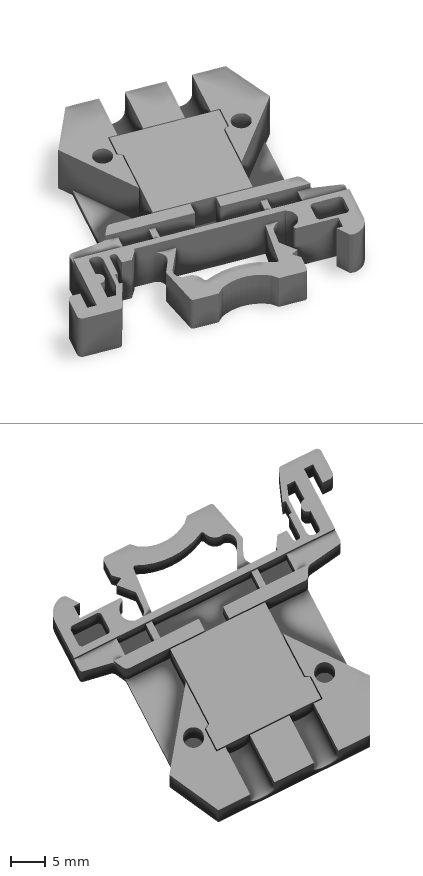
import cadquery as cq
import math


thickness = 8.0
plate_thickness = 1.0
step_depth = 1.0
pocket_floor = 1.0
channel_floor = 3.0
step_level = thickness - step_depth
clip_thickness = 6.0

body_tip_x = 8.0
body_front_half_width = 12.5
body_tip_half_width = 16.5
body_back_x = 19.4
plate_half_width = 15.0

slot_width = 4.0
slot_offset = 5.25
slot_bottom = 2.0
pin_hole_diameter = 3.1
pin_hole_x = 11.4
pin_hole_offset = 10.8

cover_gap = 0.2
cover_recess_half_width = 8.0
cover_head_half_width = 8.75
cover_head_end_x = 11.8
cover_neck_x = 12.2

wall_front_x = 25.0
wall_back_x = 27.0
wall_notch_half_width = 2.0
wall_corner_radius = 1.0
shoulder_half_width = 16.0

rail_top_y = 21.0
rail_bottom_y = -22.0
rail_tip_x = 27.9
rail_tip_radius = 0.5
rail_shoulder_radius = 1.0
ridge_x = 30.0
rail_back_x = 31.0
rib_inner_y = 8.2
rib_outer_y = 9.2
channel_end_y = 14.0

foot_x = 42.0
foot_bottom_y = -25.5
catch_x = 37.0
stem_x = 35.0
stem_end_y = 10.7
arm_top_y = -16.9
foot_corner_radius = 0.75
relief_x = 32.8
relief_y = 10.1
relief_radius = 1.8


def corner_arc(before, corner, after, radius):
    """Start, middle and end of the arc that rounds a corner."""
    to_before = (cq.Vector(*before) - cq.Vector(*corner)).normalized()
    to_after = (cq.Vector(*after) - cq.Vector(*corner)).normalized()
    half_angle = to_before.getAngle(to_after) / 2
    setback = radius / math.tan(half_angle)
    bisector = (to_before + to_after).normalized()
    middle = cq.Vector(*corner) + bisector * (radius / math.sin(half_angle) - radius)
    start = cq.Vector(*corner) + to_before * setback
    end = cq.Vector(*corner) + to_after * setback
    return [point.toTuple()[:2] for point in (start, middle, end)]


def prism(points, bottom=0.0, top=thickness):
    """Upright prism over a closed outline of (x, y) or (x, y, corner radius) points; the first is sharp."""
    outline = cq.Workplane("XY", origin=(0, 0, bottom)).moveTo(*points[0][:2])
    for index in range(1, len(points)):
        corner = points[index]
        if len(corner) == 2:
            outline = outline.lineTo(*corner)
            continue
        following = points[(index + 1) % len(points)]
        start, middle, end = corner_arc(points[index - 1][:2], corner[:2], following[:2], corner[2])
        outline = outline.lineTo(*start).threePointArc(middle, end)
    return outline.close().extrude(top - bottom)


def block(x_range, y_range, bottom=0.0, top=thickness):
    """Box between two X, two Y and two Z positions."""
    size = (x_range[1] - x_range[0], y_range[1] - y_range[0], top - bottom)
    return cq.Workplane("XY", origin=(x_range[0], y_range[0], bottom)).box(*size, centered=False)


def disc(x, y, radius, bottom=0.0):
    """Upright cylinder that reaches the top face."""
    return cq.Workplane("XY", origin=(x, y, bottom)).circle(radius).extrude(thickness - bottom)


def mirrored(points):
    """Outline closed by its own mirror image across the centre line."""
    return points + [(point[0], -point[1], *point[2:]) for point in reversed(points)]


def cover_outline(gap):
    """Outline of the cover recess, or of the cover itself when drawn in by the gap."""
    head = cover_head_half_width - gap
    side = cover_recess_half_width - gap
    return mirrored([
        (body_tip_x + gap, head),
        (cover_head_end_x, head),
        (cover_neck_x, side),
        (wall_front_x - gap, side),
    ])


def make_body():
    """Body on its base plate, with cable slots, pin holes and the set-in cover."""
    plate = block((body_tip_x, wall_front_x), (-plate_half_width, plate_half_width), top=plate_thickness)
    body = plate.union(prism(mirrored([
        (0, body_front_half_width),
        (body_tip_x, body_tip_half_width),
        (body_back_x, cover_recess_half_width),
    ])))
    for side in (-1, 1):
        slot_y = side * slot_offset
        slot_radius = slot_width / 2
        groove_axis = slot_bottom + slot_radius
        groove = cq.Workplane("YZ").center(slot_y, groove_axis).circle(slot_radius).extrude(body_tip_x)
        slot_sides = (slot_y - slot_radius, slot_y + slot_radius)
        body = body.cut(groove)
        body = body.cut(block((0, body_tip_x), slot_sides, bottom=groove_axis))
        body = body.cut(disc(pin_hole_x, side * pin_hole_offset, pin_hole_diameter / 2, pocket_floor))
    body = body.cut(prism(cover_outline(0), bottom=plate_thickness))
    return body.union(prism(cover_outline(cover_gap)))


def make_wall():
    """Full-height wall with rounded front corners that end on a square foot."""
    wall_back = (wall_back_x, shoulder_half_width)
    wall = prism(mirrored([wall_back, (wall_front_x, plate_half_width, wall_corner_radius)]))
    wall_foot = prism(mirrored([wall_back, (wall_front_x, plate_half_width)]), top=plate_thickness)
    return wall.union(wall_foot)


def make_rail():
    """Wall, the lower step behind it with its channels, and the full-height ridge."""
    step = prism([
        (ridge_x, rail_top_y),
        (rail_tip_x, rail_top_y, rail_tip_radius),
        (wall_back_x, shoulder_half_width, rail_shoulder_radius),
        (wall_front_x, plate_half_width, wall_corner_radius),
        (wall_front_x, -plate_half_width, wall_corner_radius),
        (wall_back_x, -shoulder_half_width, rail_shoulder_radius),
        (rail_tip_x, rail_bottom_y, rail_tip_radius),
        (ridge_x, rail_bottom_y),
    ], top=step_level)
    ridge = block((ridge_x, rail_back_x), (rail_bottom_y, rail_top_y))
    rail = make_wall().union(step).union(ridge)

    wall_notch = (-wall_notch_half_width, wall_notch_half_width)
    rail = rail.cut(block((wall_front_x, wall_back_x), wall_notch, bottom=channel_floor))
    channels = (
        (-channel_end_y, -rib_outer_y),
        (-rib_inner_y, rib_inner_y),
        (rib_outer_y, channel_end_y),
    )
    for channel in channels:
        rail = rail.cut(block((wall_back_x, ridge_x), channel, bottom=channel_floor))
    return rail


def make_upper_hook():
    """Rigid hook with a rounded nose, and the blind pocket in its root."""
    seat_y = 17.5
    barb_y = 16.5
    nose_start_x = 36.2
    nose_radius = 2.85
    nose_tip = (39.05, 18.4)
    nose_underside = (38.9, 17.85)
    stem_end_radius = 0.25
    stem_end_arc = corner_arc((stem_x, seat_y), (stem_x, stem_end_y), (ridge_x, stem_end_y), stem_end_radius)
    nose_diagonal = nose_radius * math.sqrt(0.5)
    nose_middle = (nose_start_x + nose_diagonal, rail_top_y - nose_radius + nose_diagonal)
    hook = (
        cq.Workplane("XY")
        .moveTo(ridge_x, rail_top_y)
        .lineTo(nose_start_x, rail_top_y)
        .threePointArc(nose_middle, nose_tip)
        .lineTo(*nose_underside)
        .lineTo(catch_x, barb_y)
        .lineTo(catch_x, seat_y)
        .lineTo(stem_x, seat_y)
        .lineTo(*stem_end_arc[0])
        .threePointArc(*stem_end_arc[1:])
        .lineTo(ridge_x, stem_end_y)
        .close()
        .extrude(thickness)
    )
    pocket_x = (rail_back_x, 34.5)
    pocket_y = (14.4, 19.5)
    pocket_corner_radius = 0.6
    pocket = block(pocket_x, pocket_y, bottom=pocket_floor).edges("|Z").fillet(pocket_corner_radius)
    return hook.cut(pocket)


def make_clip():
    """Springy bow, thinner than the block, with a window between it and the rail."""
    crest_y = 10.25
    root_bottom_y = -9.7
    corner_radius = 0.5
    root_bend = (33.1, -8.45)
    saddle_middle = (40.05, 1.0)
    saddle_half_width = 3.8
    saddle_end_x = 41.1
    saddle_top = (saddle_end_x, saddle_middle[1] + saddle_half_width)
    saddle_bottom = (saddle_end_x, saddle_middle[1] - saddle_half_width)
    crest_arc = corner_arc((stem_x, crest_y), (foot_x, crest_y), (foot_x, 0), corner_radius)
    heel = (foot_x, -7.9)
    knee = (35.3, -9.5)
    heel_arc = corner_arc((foot_x, 0), heel, knee, corner_radius)
    knee_arc = corner_arc(heel, knee, root_bend, corner_radius)
    bow = (
        cq.Workplane("XY")
        .moveTo(ridge_x, relief_y)
        .lineTo(relief_x, relief_y - relief_radius)
        .lineTo(35.1, 8.2)
        .lineTo(37.4, crest_y)
        .lineTo(38.0, 9.15)
        .lineTo(39.0, crest_y)
        .lineTo(*crest_arc[0])
        .threePointArc(*crest_arc[1:])
        .lineTo(foot_x, 5.7)
        .lineTo(*saddle_top)
        .threePointArc(saddle_middle, saddle_bottom)
        .lineTo(foot_x, -3.7)
        .lineTo(*heel_arc[0])
        .threePointArc(*heel_arc[1:])
        .lineTo(*knee_arc[0])
        .threePointArc(*knee_arc[1:])
        .lineTo(*root_bend)
        .threePointArc((31.6, -8.65), (rail_back_x, root_bottom_y))
        .lineTo(ridge_x, root_bottom_y)
        .close()
        .extrude(clip_thickness)
    )
    window = (
        cq.Workplane("XY")
        .moveTo(rail_back_x, 7.55)
        .lineTo(38.4, 6.9)
        .threePointArc((38.72, 6.75), (38.75, 6.4))
        .threePointArc((37.5, 1.0), (38.75, -4.3))
        .threePointArc((38.75, -4.6), (38.5, -4.8))
        .threePointArc((37.4, -5.55), (catch_x, -6.8))
        .threePointArc((36.4, -8.3), (35.1, -8.4))
        .lineTo(rail_back_x, -6.35)
        .close()
        .extrude(clip_thickness)
    )
    return bow.cut(window)


def make_lower_arm():
    """Arm that ends in the inward-turned lower catch, with a shallow notch along its top."""
    notch_y = -17.4
    arm_shoulder_y = -18.8
    arm_shoulder_radius = 0.5
    catch_seat_y = -23.5
    catch_root_x = 40.1
    return prism([
        (ridge_x, arm_top_y),
        (stem_x, arm_top_y),
        (stem_x, notch_y),
        (catch_x, notch_y),
        (catch_x, arm_top_y),
        (foot_x, arm_shoulder_y, arm_shoulder_radius),
        (foot_x, foot_bottom_y, foot_corner_radius),
        (catch_x, foot_bottom_y, foot_corner_radius),
        (catch_x, catch_seat_y),
        (catch_root_x, catch_seat_y),
        (catch_root_x, rail_bottom_y),
        (ridge_x, rail_bottom_y),
    ])


def make_arm_slot():
    """Through slot in the lower arm, with a half-round bump left on its floor."""
    top_y = -17.95
    floor_y = -20.0
    root_x = 30.6
    end_x = 39.1
    bump_radius = 1.0
    slot = prism([
        (catch_x, top_y),
        (end_x, -18.7),
        (end_x, floor_y),
        (root_x, floor_y, 0.6),
        (root_x, top_y, 0.9),
    ])
    return slot.cut(disc(stem_x, floor_y, bump_radius))


def make_stop():
    """Tapered stop above the lower arm, with a narrow rounded gap between the two."""
    top_y = -13.0
    nose_x = 33.0
    gap_radius = 0.45
    base_y = arm_top_y - 0.3
    return prism([
        (ridge_x, top_y),
        (31.4, top_y),
        (nose_x, -14.0),
        (nose_x, -15.55),
        (rail_back_x, -15.75, gap_radius),
        (rail_back_x, arm_top_y, gap_radius),
        (nose_x, arm_top_y),
        (nose_x, base_y),
        (ridge_x, base_y),
    ])


def make_relief():
    """Round relief between the upper hook and the clip."""
    return disc(relief_x, relief_y, relief_radius)


foot = make_upper_hook().union(make_clip()).union(make_lower_arm()).union(make_stop())
result = make_body().union(make_rail()).union(foot)
result = result.cut(make_relief()).cut(make_arm_slot())